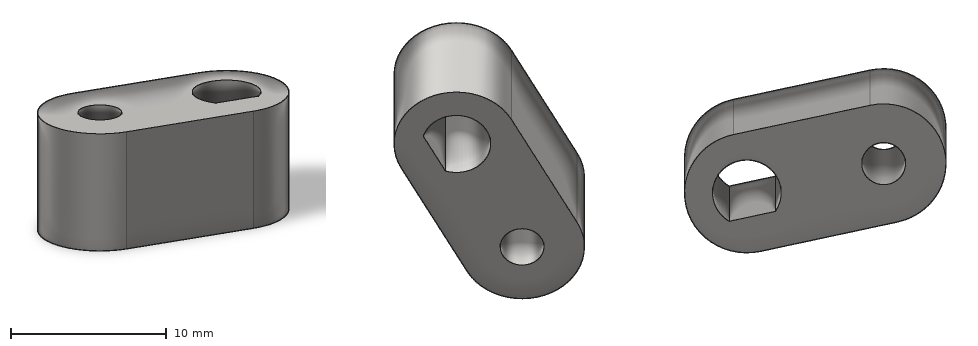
import cadquery as cq

length = 17.0
width = 8.0
height = 8.0
shaft_diameter = 4.4
flat_offset = 1.6
pin_diameter = 2.8

end_center_y = (length - width) / 2


def link_body():
    """Block with full-round ends, standing on Z = 0."""
    return cq.Workplane("XY").slot2D(length, width, 90).extrude(height)


def shaft_bore():
    """D-shaped cutter: a cylinder trimmed by a flat on its +X side."""
    cylinder = cq.Workplane("XY").circle(shaft_diameter / 2).extrude(height)
    beyond_flat = (
        cq.Workplane("XY")
        .center(flat_offset, 0)
        .rect(shaft_diameter, shaft_diameter * 2)
        .extrude(height)
        .translate((shaft_diameter / 2, 0, 0))
    )
    return cylinder.cut(beyond_flat).translate((0, end_center_y, 0))


def pin_bore():
    """Round cutter for the through hole."""
    return cq.Workplane("XY").center(0, -end_center_y).circle(pin_diameter / 2).extrude(height)


result = link_body().cut(shaft_bore()).cut(pin_bore())